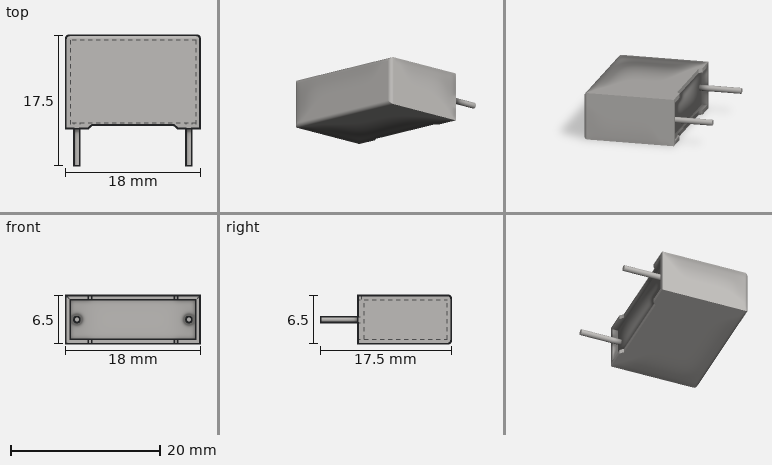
import cadquery as cq


case_width = 18.0
case_depth = 12.5
case_thickness = 6.5
wall = 0.6
back_edge_radius = 0.5

relief_depth = 0.45
relief_end_width = 0.5
relief_mouth_width = 12.0
relief_floor_width = relief_mouth_width - 2 * relief_end_width

resin_recess = 0.8
cavity_width = case_width - 2 * wall
cavity_depth = case_depth - wall
cavity_thickness = case_thickness - 2 * wall
resin_depth = cavity_depth - resin_recess

lead_pitch = 15.0
lead_diameter = 0.8
lead_projection = 5.0
lead_length = resin_recess + lead_projection


def block_behind(front_y, width, depth, thickness):
    """Block centred in X and Z whose front face lies at front_y."""
    return (
        cq.Workplane("XY")
        .box(width, depth, thickness, centered=(True, False, True))
        .translate((0, front_y, 0))
    )


def rim_relief():
    """Trapezoidal cutter that passes through the full thickness at the rim."""
    half_mouth = relief_mouth_width / 2
    half_floor = relief_floor_width / 2
    return (
        cq.Workplane("XY")
        .polyline([
            (-half_mouth, 0),
            (half_mouth, 0),
            (half_floor, relief_depth),
            (-half_floor, relief_depth),
        ])
        .close()
        .extrude(case_thickness / 2, both=True)
    )


def make_case():
    """Cup with rounded back edges, a cavity open to -Y and the rim relief."""
    shell = block_behind(0, case_width, case_depth, case_thickness)
    shell = shell.faces(">Y").edges().fillet(back_edge_radius)
    cavity = block_behind(0, cavity_width, cavity_depth, cavity_thickness)
    return shell.cut(cavity).cut(rim_relief())


def make_resin():
    """Filling that occupies the cavity behind the recess."""
    return block_behind(resin_recess, cavity_width, resin_depth, cavity_thickness)


def make_lead(x):
    """Round wire that starts on the resin face and runs to -Y."""
    return (
        cq.Workplane("XZ", origin=(x, resin_recess, 0))
        .circle(lead_diameter / 2)
        .extrude(lead_length)
    )


case = make_case()
resin = make_resin()
leads = [make_lead(side * lead_pitch / 2) for side in (-1, 1)]

result = cq.Compound.makeCompound([
    case.val(),
    resin.val(),
    *[lead.val() for lead in leads],
])